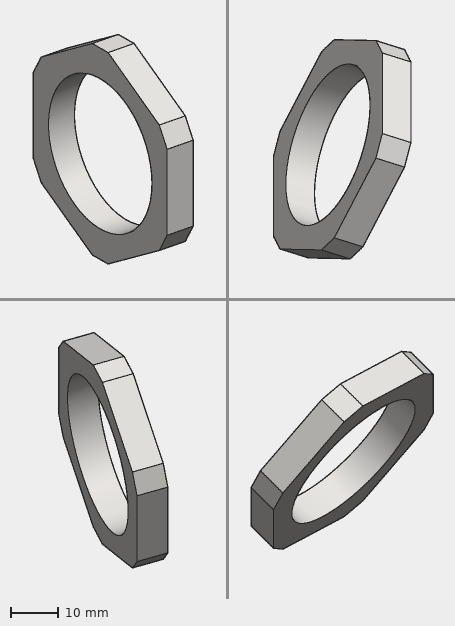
import cadquery as cq

across_flats = 46.0
across_truncated_corners = 50.0
thickness = 7.0
bore_diameter = 35.5

corner_count = 6
half_corner_step = 180.0 / corner_count


def hexagonal_prism(flat_distance, first_flat_angle):
    """Hexagonal prism with its axis along Y; the angle is measured from +X."""
    return (
        cq.Workplane("XZ")
        .transformed(rotate=(0, 0, first_flat_angle))
        .polygon(corner_count, flat_distance, circumscribed=True)
        .extrude(thickness)
    )


nut_body = hexagonal_prism(across_flats, 0)
corner_limit = hexagonal_prism(across_truncated_corners, half_corner_step)
truncated_body = nut_body.intersect(corner_limit)

bore = cq.Workplane("XZ").circle(bore_diameter / 2).extrude(thickness)

result = truncated_body.cut(bore).translate((0, thickness / 2, 0))